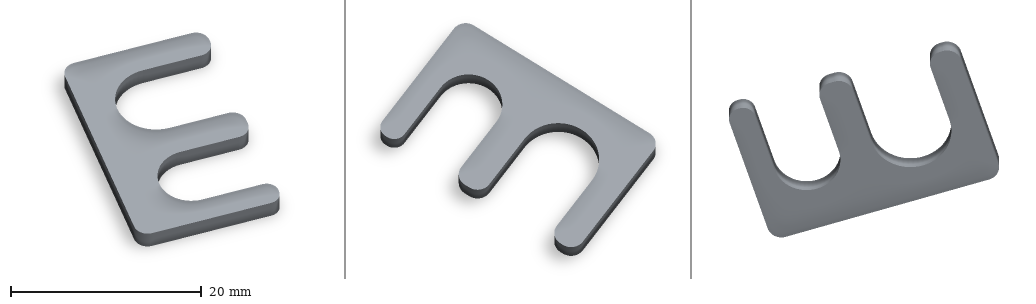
import cadquery as cq

length = 25.4
depth = 16.0
thickness = 2.0
corner_radius = 1.5

slot_end_y = depth / 2
wide_slot_x = 7.62
wide_slot_width = 8.6
narrow_slot_x = 19.05
narrow_slot_width = 7.1

right_prong_radius = 1.3
right_prong_left_x = narrow_slot_x + narrow_slot_width / 2

pick_margin = 0.01


def open_slot(center_x, width):
    """Cutter with a half-round front end and straight sides up to the back edge."""
    radius = width / 2
    return (
        cq.Workplane("XY")
        .moveTo(center_x - radius, depth)
        .lineTo(center_x - radius, slot_end_y)
        .threePointArc((center_x, slot_end_y - radius), (center_x + radius, slot_end_y))
        .lineTo(center_x + radius, depth)
        .close()
        .extrude(thickness)
    )


def round_corners(body, x_min, x_max, y, radius):
    """Round the upright edges lying at the given y between x_min and x_max."""
    low_corner = (x_min - pick_margin, y - pick_margin, -pick_margin)
    high_corner = (x_max + pick_margin, y + pick_margin, thickness + pick_margin)
    pick_box = cq.selectors.BoxSelector(low_corner, high_corner)
    return body.edges("|Z").edges(pick_box).fillet(radius)


plate = cq.Workplane("XY").box(length, depth, thickness, centered=False)
plate = plate.cut(open_slot(wide_slot_x, wide_slot_width))
plate = plate.cut(open_slot(narrow_slot_x, narrow_slot_width))

plate = round_corners(plate, 0, length, 0, corner_radius)
plate = round_corners(plate, 0, narrow_slot_x, depth, corner_radius)
plate = round_corners(plate, right_prong_left_x, length, depth, right_prong_radius)

result = plate